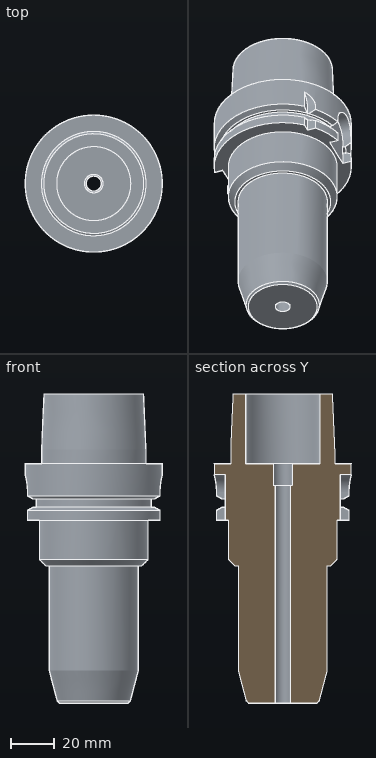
import cadquery as cq
import math


shank_height = 32.0
shank_base_diameter = 48.0
shank_base_height = 6.3
shank_top_diameter = 45.8
socket_diameter = 34.0
socket_depth = 32.0

flange_diameter = 63.0
flange_height = 26.0
groove_floor_diameter = 55.0
groove_center_depth = 18.125
groove_width = 3.75
groove_bevel_angle = 30.0
groove_bevel_width = 2.5

collar_diameter = 50.0
collar_end_depth = 47.0
collar_chamfer = 3.0

nose_diameter = 41.0
nose_cone_depth = 95.0
nose_end_depth = 110.0
nose_cone_end_diameter = 33.6
nose_chamfer = 1.0

hole_diameter = 6.8
hole_mouth_diameter = 8.5
hole_mouth_depth = 10.0

slot_width = 16.0
slot_top_depth = 5.2
key_slot_floor = 26.5
side_notch_floor = 20.4
side_notch_wall = 20.0


def make_body():
    """Revolve the outer profile about Z."""
    flange_radius = flange_diameter / 2
    groove_radius = groove_floor_diameter / 2
    collar_radius = collar_diameter / 2
    nose_radius = nose_diameter / 2
    cone_end_radius = nose_cone_end_diameter / 2
    groove_top = -groove_center_depth + groove_width / 2
    groove_bottom = -groove_center_depth - groove_width / 2
    bevel_radius = flange_radius - groove_bevel_width
    bevel_height = groove_bevel_width * math.tan(math.radians(groove_bevel_angle))
    profile = (
        cq.Workplane("XZ")
        .moveTo(0, shank_height)
        .lineTo(shank_top_diameter / 2, shank_height)
        .lineTo(shank_base_diameter / 2, shank_base_height)
        .lineTo(shank_base_diameter / 2, 0)
        .lineTo(flange_radius, 0)
        .lineTo(flange_radius, groove_top + bevel_height)
        .lineTo(bevel_radius, groove_top)
        .lineTo(groove_radius, groove_top)
        .lineTo(groove_radius, groove_bottom)
        .lineTo(bevel_radius, groove_bottom)
        .lineTo(flange_radius, groove_bottom - bevel_height)
        .lineTo(flange_radius, -flange_height)
        .lineTo(collar_radius, -flange_height)
        .lineTo(collar_radius, -collar_end_depth + collar_chamfer)
        .lineTo(collar_radius - collar_chamfer, -collar_end_depth)
        .lineTo(nose_radius, -collar_end_depth)
        .lineTo(nose_radius, -nose_cone_depth)
        .lineTo(cone_end_radius, -nose_end_depth + nose_chamfer)
        .lineTo(cone_end_radius - nose_chamfer, -nose_end_depth)
        .lineTo(0, -nose_end_depth)
        .close()
    )
    return profile.revolve(360, (0, 0), (0, 1))


def make_bore():
    """Wide socket in the shank, then a stepped hole through to the nose."""
    socket_floor = shank_height - socket_depth
    socket = (
        cq.Workplane("XY")
        .workplane(offset=socket_floor)
        .circle(socket_diameter / 2)
        .extrude(socket_depth)
    )
    mouth = (
        cq.Workplane("XY")
        .workplane(offset=socket_floor - hole_mouth_depth)
        .circle(hole_mouth_diameter / 2)
        .extrude(hole_mouth_depth)
    )
    hole = (
        cq.Workplane("XY")
        .workplane(offset=-nose_end_depth)
        .circle(hole_diameter / 2)
        .extrude(nose_end_depth + socket_floor)
    )
    return socket.union(mouth).union(hole)


def make_slot(floor_distance, center_y):
    """Slot cutter on the -X side: flat floor facing -X, round top, open at the flange's underside."""
    slot_radius = slot_width / 2
    left = center_y - slot_radius
    right = center_y + slot_radius
    arc_center = -slot_top_depth - slot_radius
    return (
        cq.Workplane("YZ")
        .workplane(offset=-floor_distance)
        .moveTo(left, -flange_height)
        .lineTo(left, arc_center)
        .threePointArc((center_y, -slot_top_depth), (right, arc_center))
        .lineTo(right, -flange_height)
        .close()
        .extrude(floor_distance - flange_diameter / 2)
    )


key_slot = make_slot(key_slot_floor, 0)
opposite_key_slot = key_slot.mirror("YZ")
side_notch = make_slot(side_notch_floor, side_notch_wall + slot_width / 2)

result = make_body().cut(make_bore())
for cutter in (key_slot, opposite_key_slot, side_notch):
    result = result.cut(cutter)